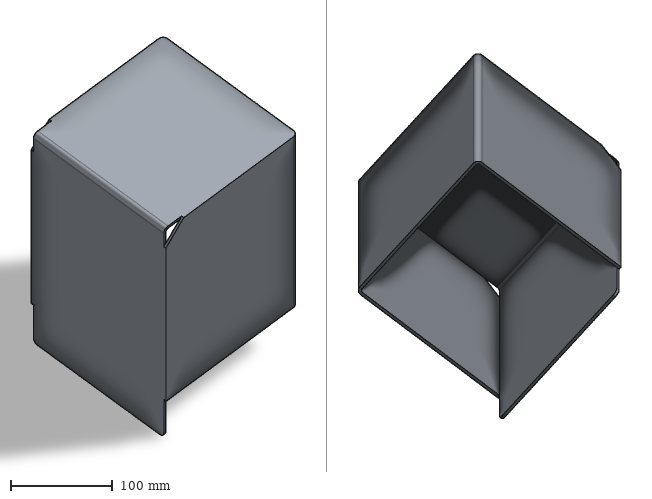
import cadquery as cq

width = 187.3
depth = 184.3
height = 301.5

thickness = 3.0
bend_radius = 6.0
inner_bend_radius = bend_radius - thickness

apron_height = 54.3
apron_corner_radius = 6.0
corner_clip = 25.0

box_height = height - apron_height
inner_width = width - 2 * thickness
inner_depth = depth - 2 * thickness


def block(size_x, size_y, base_z, size_z):
    """Upright block centred on the Z axis, resting at base_z."""
    return cq.Workplane("XY").box(size_x, size_y, size_z, centered=(True, True, False)).translate(
        (0, 0, base_z)
    )


def open_box():
    """Hollow box, open underneath, with bends at the back corners and along the top front edge."""
    outer = block(width, depth, apron_height, box_height)
    outer = outer.edges("|Z and >Y").fillet(bend_radius)
    outer = outer.edges("|X and >Z and <Y").fillet(bend_radius)

    cavity = block(inner_width, inner_depth, apron_height, box_height - thickness)
    cavity = cavity.edges("|Z and >Y").fillet(inner_bend_radius)
    cavity = cavity.edges("|X and >Z and <Y").fillet(inner_bend_radius)
    return outer.cut(cavity)


def corner_clips():
    """Triangular prisms that remove the upper front corner of both side walls."""
    clips = cq.Workplane("YZ")
    for wall_start in (-width / 2, inner_width / 2):
        clip = (
            cq.Workplane("YZ", origin=(wall_start, 0, 0))
            .moveTo(-depth / 2, height)
            .lineTo(-depth / 2 + corner_clip, height)
            .lineTo(-depth / 2, height - corner_clip)
            .close()
            .extrude(thickness)
        )
        clips = clips.add(clip)
    return clips.combine()


def apron():
    """Front plate extension with rounded lower corners, narrower than the box by both side walls."""
    plate = block(inner_width, thickness, 0, height - corner_clip)
    plate = plate.edges("|Y and <Z").fillet(apron_corner_radius)
    return plate.translate((0, (thickness - depth) / 2, 0))


result = open_box().cut(corner_clips()).union(apron())